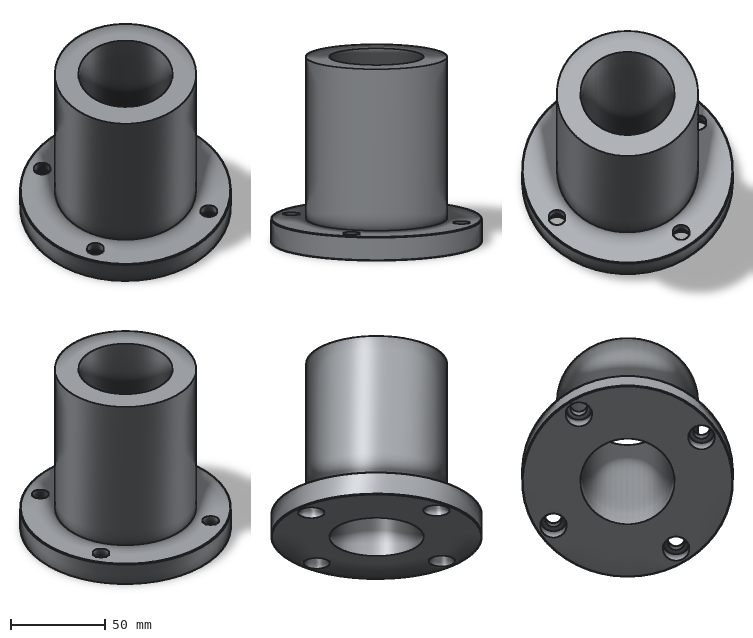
import cadquery as cq

flange_diameter = 112.0
flange_thickness = 13.0
total_height = 100.0
tube_diameter = 75.0
bore_diameter = 50.0

hole_diameter = 9.0
hole_circle_diameter = 94.0
hole_count = 4
counterbore_diameter = 14.0
counterbore_depth = 8.0

flange_chamfer = 0.5


def make_flange():
    """Round base flange with both rims chamfered."""
    disc = cq.Workplane("XY").circle(flange_diameter / 2).extrude(flange_thickness)
    return disc.edges().chamfer(flange_chamfer)


def make_tube():
    """Round tube body, still solid."""
    return cq.Workplane("XY").circle(tube_diameter / 2).extrude(total_height)


def make_bore():
    """Cutter for the central bore, through the full height."""
    return cq.Workplane("XY").circle(bore_diameter / 2).extrude(total_height)


def make_bolt_cutters(diameter, depth):
    """Cylinders on the bolt circle, rising from the flange underside."""
    return (
        cq.Workplane("XY")
        .polarArray(hole_circle_diameter / 2, 0, 360, hole_count)
        .circle(diameter / 2)
        .extrude(depth)
    )


body = make_flange().union(make_tube()).cut(make_bore())
drilled = body.cut(make_bolt_cutters(hole_diameter, flange_thickness))
result = drilled.cut(make_bolt_cutters(counterbore_diameter, counterbore_depth))